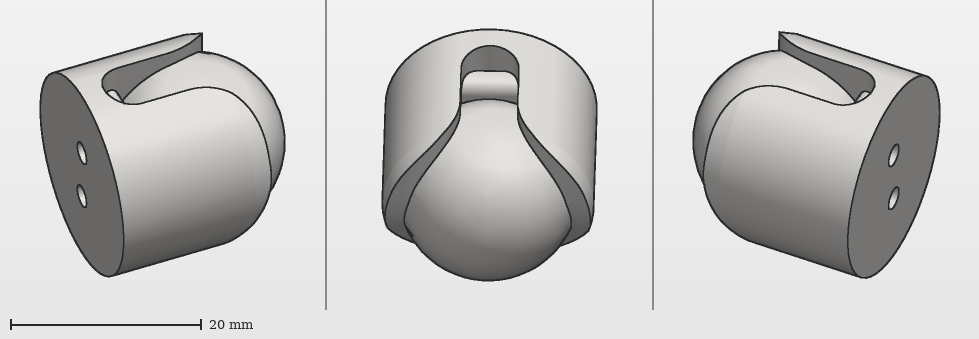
import cadquery as cq
import math

body_radius = 22.225 / 2
rim_y = 17.2
taper_start_y = 15.09
taper_angle = 12.0

ball_radius = 19.05 / 2
overall_length = 22.35
ball_center_y = overall_length - ball_radius

trim_angle = 30.0
trim_bottom_y = 10.72
trim_blend_radius = 12.0

slot_width = 6.05
slot_end_y = 2.56
flare_radius = 6.35

roller_radius = 3.175 / 2
roller_center_y = 3.86

hole_diameter = 2.45
hole_spacing = 6.1

base_thickness = 1.27
pocket_radius = 6.0

contact_distance = ball_radius + roller_radius
roller_center_z = math.sqrt(contact_distance**2 - (ball_center_y - roller_center_y) ** 2)


def make_body():
    """Turned housing with a conical rim."""
    rim_radius = body_radius - (rim_y - taper_start_y) * math.tan(math.radians(taper_angle))
    profile = (
        cq.Workplane("XY")
        .moveTo(0, 0)
        .lineTo(body_radius, 0)
        .lineTo(body_radius, taper_start_y)
        .lineTo(rim_radius, rim_y)
        .lineTo(0, rim_y)
        .close()
    )
    return profile.revolve(360, (0, 0, 0), (0, 1, 0))


def make_trim():
    """Material removed beyond the slanted line, which is blended by an arc into the rim plane."""
    angle = math.radians(trim_angle)
    slope = math.tan(angle)
    corner_z = -body_radius + (rim_y - trim_bottom_y) / slope
    tangent_length = trim_blend_radius * math.tan(angle / 2)
    arc_center_y = rim_y - trim_blend_radius
    arc_top_z = corner_z + tangent_length
    arc_bottom = (
        rim_y - tangent_length * math.sin(angle),
        corner_z - tangent_length * math.cos(angle),
    )
    arc_middle = (
        arc_center_y + trim_blend_radius * math.cos(angle / 2),
        arc_top_z - trim_blend_radius * math.sin(angle / 2),
    )
    margin = 1.0
    start = (trim_bottom_y - margin * slope, -body_radius - margin)
    return (
        cq.Workplane("YZ")
        .moveTo(*start)
        .lineTo(*arc_bottom)
        .threePointArc(arc_middle, (rim_y, arc_top_z))
        .lineTo(rim_y + margin, arc_top_z)
        .lineTo(rim_y + margin, start[1])
        .close()
        .extrude(2 * body_radius, both=True)
    )


def make_seated_roller():
    """Roller spanning the slot, on a solid seat that fills the space below it."""
    roller = (
        cq.Workplane("YZ")
        .center(roller_center_y, roller_center_z)
        .circle(roller_radius)
        .extrude(slot_width, both=True)
    )
    seat_length = roller_center_y + roller_radius
    seat = cq.Workplane("XY").box(
        2 * slot_width, seat_length, roller_center_z, centered=(True, False, False)
    )
    return roller.union(seat)


def make_slot():
    """Round-ended slot, open at the rim through two quarter-circle flares."""
    half_width = slot_width / 2
    end_center_y = slot_end_y + half_width
    flare_start_y = rim_y - flare_radius
    mouth_x = half_width + flare_radius
    flare_offset = flare_radius / math.sqrt(2)
    flare_middle = (mouth_x - flare_offset, flare_start_y + flare_offset)
    outline = (
        cq.Workplane("XY")
        .moveTo(-mouth_x, rim_y)
        .threePointArc((-flare_middle[0], flare_middle[1]), (-half_width, flare_start_y))
        .lineTo(-half_width, end_center_y)
        .threePointArc((0, slot_end_y), (half_width, end_center_y))
        .lineTo(half_width, flare_start_y)
        .threePointArc(flare_middle, (mouth_x, rim_y))
        .close()
    )
    return outline.extrude(body_radius)


def make_screw_holes():
    """Two holes on the vertical centerline, through the base wall."""
    return (
        cq.Workplane("XZ")
        .pushPoints([(0, hole_spacing / 2), (0, -hole_spacing / 2)])
        .circle(hole_diameter / 2)
        .extrude(-base_thickness)
    )


def make_pocket():
    """Round pocket behind the base wall, overlapping the ball that closes it."""
    return (
        cq.Workplane("XZ", origin=(0, base_thickness, 0))
        .circle(pocket_radius)
        .extrude(base_thickness - ball_center_y)
    )


ball = cq.Workplane("XY").sphere(ball_radius).translate((0, ball_center_y, 0))

slot_space = make_slot().cut(make_seated_roller())
housing = make_body().cut(make_trim()).cut(slot_space).cut(make_pocket()).cut(make_screw_holes())
result = housing.union(ball)